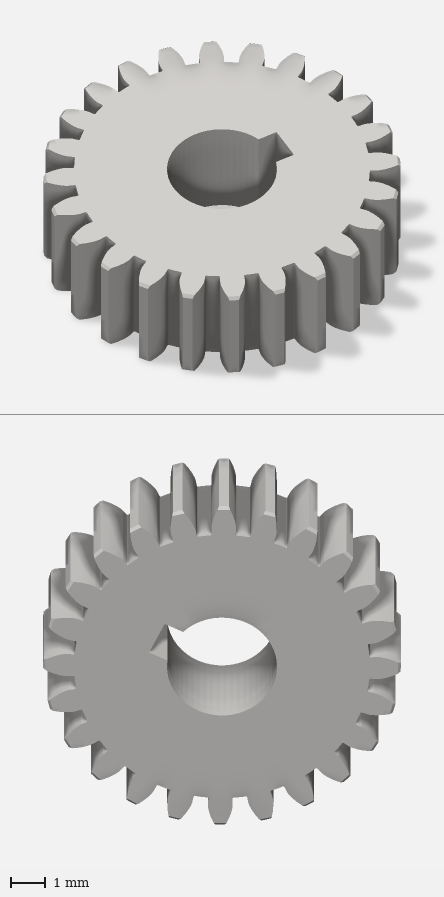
import cadquery as cq
import math

overall_width = 10.3
face_width = 3.17
tooth_count = 24
pressure_angle = math.radians(20)
tooth_phase = math.radians(4.6)

bore_radius = 1.59
keyway_width = 1.03
keyway_top = 2.09

bevel_size = 0.08
root_fillet = 0.04

addendum = 1.0
dedendum = 1.25

pitch_angle = 2 * math.pi / tooth_count
flank_points = 7
radius_tolerance = 0.001


def polar(radius, angle):
    return (radius * math.cos(angle), radius * math.sin(angle))


def involute(angle):
    return math.tan(angle) - angle


def half_tooth_angle(cos_flank):
    """Half the angle a tooth spans where the base radius over the radius is cos_flank."""
    at_pitch = pitch_angle / 4 + involute(pressure_angle)
    return at_pitch - involute(math.acos(cos_flank))


base_to_tip = math.cos(pressure_angle) * tooth_count / (tooth_count + 2 * addendum)
tip_radius = overall_width / 2 / math.cos(tooth_phase - half_tooth_angle(base_to_tip))
module = tip_radius / (tooth_count / 2 + addendum)
pitch_radius = module * tooth_count / 2
base_radius = tip_radius * base_to_tip
root_radius = pitch_radius - dedendum * module


def flank(center_angle, side):
    """Involute points from base circle to tip, on one side (-1 or +1) of a tooth."""
    step = (tip_radius - base_radius) / (flank_points - 1)
    radii = [base_radius + i * step for i in range(flank_points - 1)] + [tip_radius]
    return [polar(r, center_angle + side * half_tooth_angle(base_radius / r)) for r in radii]


def toothed_blank():
    """Involute flanks continued radially to the root circle, with filleted root corners."""
    base_half_angle = half_tooth_angle(1.0)
    first_center = math.pi / 2 + tooth_phase
    outline = cq.Workplane("XY").moveTo(*polar(root_radius, first_center - base_half_angle))
    for tooth in range(tooth_count):
        center = first_center + tooth * pitch_angle
        rising = flank(center, -1)
        falling = flank(center, 1)[::-1]
        outline = (
            outline.lineTo(*rising[0])
            .spline(rising[1:], includeCurrent=True)
            .threePointArc(polar(tip_radius, center), falling[0])
            .spline(falling[1:], includeCurrent=True)
            .lineTo(*polar(root_radius, center + base_half_angle))
            .threePointArc(
                polar(root_radius, center + pitch_angle / 2),
                polar(root_radius, center + pitch_angle - base_half_angle),
            )
        )
    blank = outline.close().extrude(face_width)

    root_corners = [
        edge
        for edge in blank.edges("|Z").vals()
        if abs(math.hypot(edge.Center().x, edge.Center().y) - root_radius) < radius_tolerance
    ]
    return blank.newObject(root_corners).fillet(root_fillet)


def beveled_envelope():
    """Cylinder at the tip radius whose beveled rims trim the tooth tips."""
    return cq.Workplane("XY").circle(tip_radius).extrude(face_width).edges().chamfer(bevel_size)


def keyed_bore():
    bore = cq.Workplane("XY").circle(bore_radius).extrude(face_width)
    keyway = (
        cq.Workplane("XY")
        .center(0, keyway_top / 2)
        .rect(keyway_width, keyway_top)
        .extrude(face_width)
    )
    return bore.union(keyway)


result = toothed_blank().intersect(beveled_envelope()).cut(keyed_bore())